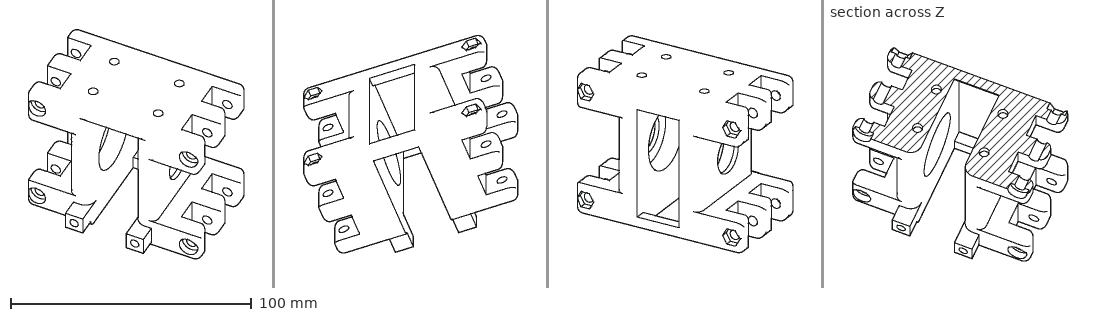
import cadquery as cq
import math


length = 80.0
depth = 45.0
height = 65.0
arm_height = 15.0
web_outer_width = 40.0
edge_radius = 3.0

end_finger_width = 8.0
slot_width = 10.0
slot_floor_span = 56.0

passage_width = 20.0
roof_thickness = 5.0
back_wall_thickness = 5.0
sill_height = 5.9
lip_drop = 4.5
lip_radius = 2.0
mouth_radius = 5.0

tab_size = 8.0
tab_length = 7.5
tab_bottom = edge_radius
tab_hole_diameter = 3.8

bolt_spacing = 70.0
bolt_hole_diameter = 4.3
bolt_head_diameter = 8.2
bolt_head_depth = 3.0
nut_across_flats = 7.0
nut_depth = bolt_head_depth

shaft_y = 21.6
shaft_z = height / 2
shaft_hole_diameter = 17.0
seat_diameter = 28.0
seat_shoulder = 2.0

top_hole_diameter = 4.0
top_hole_depth = 10.0
top_hole_spacing_x = 30.0
top_hole_spacing_y = 20.0

roof_z = height - roof_thickness
tab_top = tab_bottom + tab_size
sides = (-1, 1)
arm_bottoms = (0, height - arm_height)
arm_centers = [bottom + arm_height / 2 for bottom in arm_bottoms]
bolt_points = [(side * bolt_spacing / 2, z) for side in sides for z in arm_centers]


def box(x_range, y_range, z_range):
    """Box given by its lower and upper limit along each axis."""
    sizes = [high - low for low, high in (x_range, y_range, z_range)]
    corner = (x_range[0], y_range[0], z_range[0])
    return cq.Workplane("XY").box(*sizes, centered=False).translate(corner)


def bore(diameter, start, end):
    """Cylinder of the given diameter between two centre points."""
    axis = cq.Vector(*end) - cq.Vector(*start)
    return cq.Workplane(cq.Solid.makeCylinder(diameter / 2, axis.Length, cq.Vector(*start), axis))


def make_frame():
    """H-shaped block with fingered arms and rounded outer edges."""
    half_length = length / 2
    frame = box((-half_length, half_length), (0, depth), (0, height))

    for side in sides:
        xs = sorted((side * web_outer_width / 2, side * half_length))
        frame = frame.cut(box(xs, (0, depth), (arm_height, height - arm_height)))
        xs = sorted((side * slot_floor_span / 2, side * half_length))
        for slot_front in (end_finger_width, depth - end_finger_width - slot_width):
            frame = frame.cut(box(xs, (slot_front, slot_front + slot_width), (0, height)))

    finger_ends = frame.faces("<X or >X").edges()
    long_edges = frame.faces("<Z or >Z").edges("|X").edges("<Y or >Y")
    between_arms = cq.selectors.BoxSelector(
        (-length, -depth, arm_height),
        (length, 2 * depth, height - arm_height),
    )
    web_edges = frame.edges("|Z").edges("<Y or >Y").edges(between_arms)
    rounded_edges = finger_ends.vals() + long_edges.vals() + web_edges.vals()
    return frame.newObject(rounded_edges).fillet(edge_radius)


def make_passage():
    """Open-bottomed passage between the webs, with a sill and a rounded lip at the back."""
    wall_front = depth - back_wall_thickness
    lip_bottom_z = roof_z - lip_drop
    return (
        cq.Workplane("YZ", origin=(-passage_width / 2, 0, 0))
        .lineTo(wall_front, 0)
        .lineTo(wall_front, sill_height)
        .lineTo(depth, sill_height)
        .lineTo(depth, lip_bottom_z)
        .lineTo(wall_front + lip_radius, lip_bottom_z)
        .radiusArc((wall_front, lip_bottom_z + lip_radius), lip_radius)
        .lineTo(wall_front, roof_z - lip_radius)
        .radiusArc((wall_front - lip_radius, roof_z), -lip_radius)
        .lineTo(0, roof_z)
        .close()
        .extrude(passage_width)
    )


def make_mouth():
    """Flare that rounds the front edges of the passage above the tabs."""
    half_passage = passage_width / 2
    half_mouth = half_passage + mouth_radius
    return (
        cq.Workplane("XY", origin=(0, 0, tab_top))
        .moveTo(-half_mouth, 0)
        .radiusArc((-half_passage, mouth_radius), -mouth_radius)
        .lineTo(half_passage, mouth_radius)
        .radiusArc((half_mouth, 0), -mouth_radius)
        .close()
        .extrude(roof_z - tab_top)
    )


def make_bearing_seat(side):
    """Through hole in one web, widened from the inner side to leave a thin shoulder."""
    outer_x = side * web_outer_width / 2
    shoulder_x = outer_x - side * seat_shoulder
    inner_x = side * passage_width / 2
    hole = bore(shaft_hole_diameter, (outer_x, shaft_y, shaft_z), (inner_x, shaft_y, shaft_z))
    seat = bore(seat_diameter, (shoulder_x, shaft_y, shaft_z), (inner_x, shaft_y, shaft_z))
    return hole.union(seat)


def make_tab(side):
    """Square tab standing out from the front, flush with the passage wall and drilled along Y."""
    inner_x = side * passage_width / 2
    center_x = inner_x + side * tab_size / 2
    center_z = tab_bottom + tab_size / 2
    xs = sorted((inner_x, inner_x + side * tab_size))
    tab = box(xs, (-tab_length, mouth_radius), (tab_bottom, tab_top))
    return tab.cut(bore(tab_hole_diameter, (center_x, -tab_length, center_z), (center_x, 0, center_z)))


def make_bolt_hole(x, z):
    """Hole through the fingers with a round head recess in front and a hexagonal nut pocket behind."""
    shank = bore(bolt_hole_diameter, (x, 0, z), (x, depth, z))
    head = bore(bolt_head_diameter, (x, 0, z), (x, bolt_head_depth, z))
    nut_across_corners = nut_across_flats / math.cos(math.radians(30))
    nut = (
        cq.Workplane("XZ", origin=(x, depth, z))
        .polygon(6, nut_across_corners)
        .extrude(nut_depth)
    )
    return shank.union(head).union(nut)


def make_top_holes():
    """Four blind screw holes in the top face."""
    return (
        cq.Workplane("XY", origin=(0, depth / 2, height - top_hole_depth))
        .rarray(top_hole_spacing_x, top_hole_spacing_y, 2, 2)
        .circle(top_hole_diameter / 2)
        .extrude(top_hole_depth)
    )


result = make_frame().cut(make_passage()).cut(make_mouth()).cut(make_top_holes())
for side in sides:
    result = result.cut(make_bearing_seat(side)).union(make_tab(side))
for x, z in bolt_points:
    result = result.cut(make_bolt_hole(x, z))